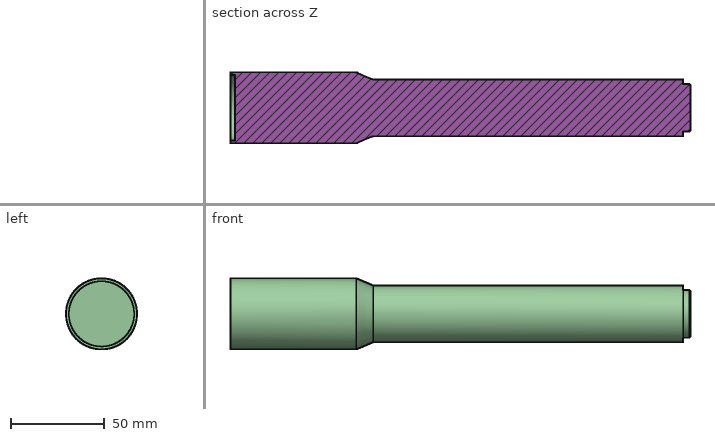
import cadquery as cq

total_length = 245.3
head_radius = 19.0
head_length = 67.2
body_radius = 15.2
body_start = 76.0
tail_radius = 12.8
tail_length = 4.0
tail_chamfer = 0.7
recess_radius = 17.5
recess_depth = 2.5

tail_start = total_length - tail_length

profile = (
    cq.Workplane("XZ")
    .moveTo(0, 0)
    .lineTo(0, head_radius)
    .lineTo(head_length, head_radius)
    .lineTo(body_start, body_radius)
    .lineTo(tail_start, body_radius)
    .lineTo(tail_start, tail_radius)
    .lineTo(total_length - tail_chamfer, tail_radius)
    .lineTo(total_length, tail_radius - tail_chamfer)
    .lineTo(total_length, 0)
    .close()
)
barrel = profile.revolve(360, (0, 0, 0), (1, 0, 0))

recess = cq.Workplane("YZ").circle(recess_radius).extrude(recess_depth)

result = barrel.cut(recess)